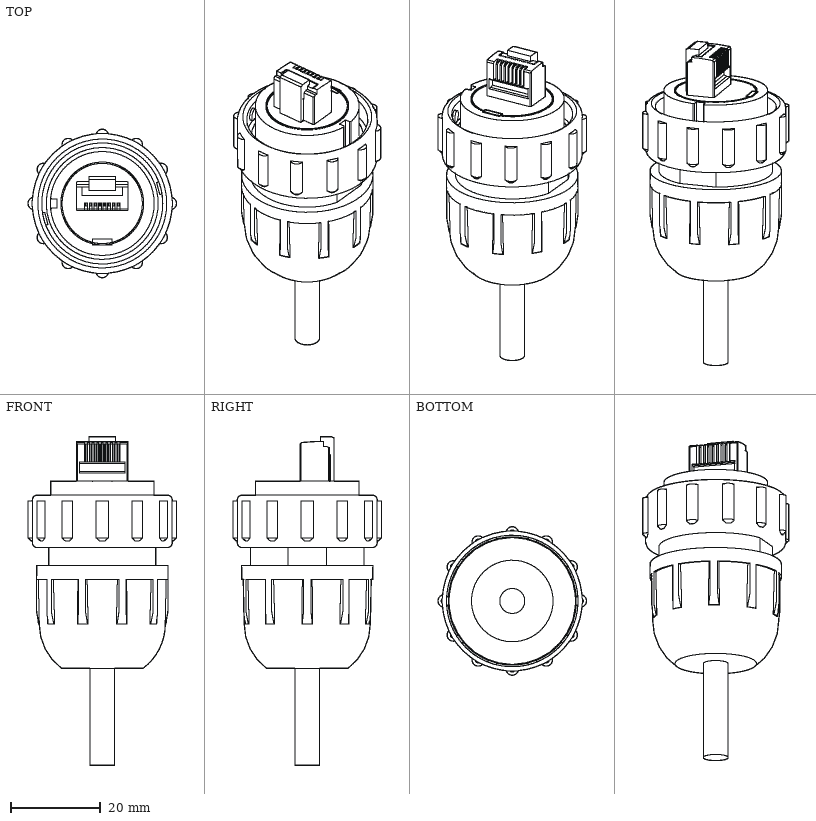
import cadquery as cq
import math

overall_height = 73.3
gland_bottom = 21.6
rib_foot = 31.5
rib_knee_bottom = 33.85
rib_knee_top = 34.4
collar_bottom = 41.5
collar_top = 44.55
nut_bottom = 48.5
nut_top = 60.2
insert_top = 63.3

cable_radius = 2.8
gland_mouth_radius = 9.1
dome_radius = 14.1
barrel_radius = 14.3
collar_radius = 14.65
gland_rib_count = 10
gland_rib_tip_width = 1.6
gland_rib_root_width = 2.4
gland_rib_foot_radius = 14.2
gland_rib_knee_radius = 14.6

neck_radius = 12.7
neck_flat_distance = 11.95

nut_radius = 15.6
nut_edge_radius = 1.1
nut_floor = 55.1
bore_radius = 13.5
bore_mouth_radius = 14.35
bore_taper_depth = 0.7
nut_rib_count = 12
nut_rib_tip_radius = 16.55
nut_rib_radius = 1.4
nut_rib_bottom = 50.0
nut_rib_top = 58.9
nut_rib_chamfer = 0.7
seal_section_radius = 0.45
pin_radius = 1.4
pin_reach = 0.6
pin_z = 57.15
pin_angles = (15, 195)

insert_radius = 11.6
keyway_depth = 1.5
keyway_width = 2.05
keyway_mouth_width = 2.85
keyway_flare_depth = 0.3
seam_outer_radius = 9.2
seam_width = 0.3
seam_depth = 0.2
tab_width = 4.4
tab_length = 1.3
tab_depth = 0.15

plug_width = 11.6
plug_front = -1.6
plug_back = 4.9
plug_top = 72.2
plug_edge_chamfer = 0.2
shoulder_y = 3.7
shoulder_z = 71.1
back_slope_length = 0.65
back_slope_drop = 0.3
crown_y = 1.7
brow_y = -1.25
brow_z = 71.95
brow_foot_z = 71.6
crown_pocket_width = 9.1
crown_pocket_length = 1.8
crown_pocket_depth = 0.2

latch_width = 6.0
latch_back = 6.0
latch_front = 2.9
latch_thickness = 0.9
latch_root_z = 69.2
latch_chamfer_length = 0.65
latch_chamfer_drop = 0.3

contact_count = 8
contact_pitch = 1.0
slot_width = 0.65
slot_back_y = 0.15
contact_width = 0.3
contact_face_y = -0.6
window_width = 10.1
window_top = 67.6
window_inner_top = 67.3
window_bottom = 65.15
window_inner_bottom = 65.45
window_depth = 1.5
window_step_depth = 0.4
window_sill_depth = 0.8


def disc(radius, bottom, top):
    return cq.Workplane("XY").workplane(offset=bottom).circle(radius).extrude(top - bottom)


def box(x_size, y_min, y_max, z_min, z_max):
    """Box centred on X = 0."""
    corner = (-x_size / 2, y_min, z_min)
    return cq.Workplane("XY").box(x_size, y_max - y_min, z_max - z_min, centered=False).translate(corner)


def side_prism(points, x_size):
    """Outline of (y, z) points extruded symmetrically along X."""
    return cq.Workplane("YZ").polyline(points).close().extrude(x_size / 2, both=True)


def make_gland_body():
    drop = rib_foot - gland_bottom
    inset = dome_radius - gland_mouth_radius
    arc_radius = (drop**2 + inset**2) / (2 * inset)
    half_angle = math.asin(drop / arc_radius) / 2
    arc_middle = (
        dome_radius - arc_radius * (1 - math.cos(half_angle)),
        rib_foot - arc_radius * math.sin(half_angle),
    )
    return (
        cq.Workplane("XZ")
        .moveTo(0, gland_bottom)
        .lineTo(gland_mouth_radius, gland_bottom)
        .threePointArc(arc_middle, (dome_radius, rib_foot))
        .lineTo(barrel_radius, collar_bottom)
        .lineTo(collar_radius, collar_bottom)
        .lineTo(collar_radius, collar_top)
        .lineTo(0, collar_top)
        .close()
        .revolve(360, (0, 0), (0, 1))
    )


def make_gland_ribs():
    inner_x = neck_radius
    half_root = gland_rib_root_width / 2
    half_tip = gland_rib_tip_width / 2
    rib = (
        cq.Workplane("XY")
        .workplane(offset=rib_foot)
        .polyline([
            (inner_x, -half_root),
            (dome_radius, -half_root),
            (collar_radius, -half_tip),
            (collar_radius, half_tip),
            (dome_radius, half_root),
            (inner_x, half_root),
        ])
        .close()
        .extrude(collar_bottom - rib_foot)
    )
    envelope = (
        cq.Workplane("XZ")
        .polyline([
            (0, rib_foot),
            (gland_rib_foot_radius, rib_foot),
            (gland_rib_knee_radius, rib_knee_bottom),
            (collar_radius, rib_knee_top),
            (collar_radius, collar_bottom),
            (0, collar_bottom),
        ])
        .close()
        .revolve(360, (0, 0), (0, 1))
    )
    rib = rib.intersect(envelope)
    ribs = rib
    for i in range(1, gland_rib_count):
        ribs = ribs.union(rib.rotate((0, 0, 0), (0, 0, 1), 360 * i / gland_rib_count))
    return ribs


def make_neck():
    flats = box(2 * neck_flat_distance, -neck_radius, neck_radius, collar_top, nut_floor)
    return disc(neck_radius, collar_top, nut_floor).intersect(flats)


def make_nut():
    shell = disc(nut_radius, nut_bottom, nut_top).edges().fillet(nut_edge_radius)

    rib = disc(nut_rib_radius, nut_rib_bottom, nut_rib_top).faces("<Z").edges().chamfer(nut_rib_chamfer)
    rib = rib.translate((nut_rib_tip_radius - nut_rib_radius, 0, 0))
    for i in range(nut_rib_count):
        shell = shell.union(rib.rotate((0, 0, 0), (0, 0, 1), 360 * i / nut_rib_count))

    bore = (
        cq.Workplane("XZ")
        .polyline([
            (0, nut_floor),
            (bore_radius, nut_floor),
            (bore_radius, nut_top - bore_taper_depth),
            (bore_mouth_radius, nut_top),
            (0, nut_top),
        ])
        .close()
        .revolve(360, (0, 0), (0, 1))
    )
    shell = shell.cut(bore)

    pin_start = bore_radius - pin_reach
    pin_length = (nut_radius + bore_radius) / 2 - pin_start
    pin_plane = cq.Workplane("YZ").workplane(offset=pin_start).center(0, pin_z)
    pin = pin_plane.circle(pin_radius).extrude(pin_length)
    for angle in pin_angles:
        shell = shell.union(pin.rotate((0, 0, 0), (0, 0, 1), angle))
    return shell


def make_seal():
    ring_radius = insert_radius + seal_section_radius
    return (
        cq.Workplane("XZ")
        .center(ring_radius, nut_floor)
        .circle(seal_section_radius)
        .revolve(360, (-ring_radius, 0), (-ring_radius, 1))
    )


def make_insert():
    body = disc(insert_radius, nut_floor, insert_top)

    flare_x = -insert_radius + keyway_flare_depth
    keyway = (
        cq.Workplane("XY")
        .workplane(offset=nut_floor)
        .polyline([
            (-insert_radius + keyway_depth, -keyway_width / 2),
            (flare_x, -keyway_width / 2),
            (-insert_radius, -keyway_mouth_width / 2),
            (-insert_radius, keyway_mouth_width / 2),
            (flare_x, keyway_width / 2),
            (-insert_radius + keyway_depth, keyway_width / 2),
        ])
        .close()
        .extrude(insert_top - nut_floor)
    )

    seam_bottom = insert_top - seam_depth
    seam = disc(seam_outer_radius, seam_bottom, insert_top).cut(
        disc(seam_outer_radius - seam_width, seam_bottom, insert_top)
    )
    tab_inner_y = tab_length - seam_outer_radius
    tab = box(tab_width, -seam_outer_radius, tab_inner_y, insert_top - tab_depth, insert_top)
    return body.cut(keyway).cut(seam).cut(tab)


def make_plug():
    body = box(plug_width, plug_front, plug_back, insert_top, plug_top).edges("|Z").chamfer(plug_edge_chamfer)

    profile = side_prism([
        (plug_front, insert_top),
        (plug_front, brow_foot_z),
        (brow_y, brow_z),
        (crown_y, plug_top),
        (shoulder_y, plug_top),
        (shoulder_y, shoulder_z),
        (plug_back - back_slope_length, shoulder_z),
        (plug_back, shoulder_z - back_slope_drop),
        (plug_back, insert_top),
    ], plug_width)
    body = body.intersect(profile)

    pocket_bottom = plug_top - crown_pocket_depth
    body = body.cut(
        box(crown_pocket_width, shoulder_y - crown_pocket_length, shoulder_y, pocket_bottom, plug_top)
    )

    slot = box(slot_width, plug_front, slot_back_y, window_top, plug_top)
    blade = box(contact_width, contact_face_y, slot_back_y, window_top, brow_foot_z)
    for i in range(contact_count):
        slot_x = (i - (contact_count - 1) / 2) * contact_pitch
        body = body.cut(slot.cut(blade).translate((slot_x, 0, 0)))

    window = side_prism([
        (plug_front, window_bottom),
        (plug_front, window_top),
        (plug_front + window_step_depth, window_top),
        (plug_front + window_step_depth, window_inner_top),
        (plug_front + window_depth, window_inner_top),
        (plug_front + window_depth, window_inner_bottom),
        (plug_front + window_sill_depth, window_bottom),
    ], window_width)
    return body.cut(window)


def make_latch():
    arm_front = latch_back - latch_thickness
    return side_prism([
        (latch_back, insert_top),
        (latch_back, overall_height - latch_chamfer_drop),
        (latch_back - latch_chamfer_length, overall_height),
        (latch_front, overall_height),
        (latch_front, plug_top - crown_pocket_depth),
        (shoulder_y, plug_top - crown_pocket_depth),
        (shoulder_y, latch_root_z),
        (arm_front, latch_root_z),
        (arm_front, insert_top),
    ], latch_width)


result = (
    disc(cable_radius, 0, gland_bottom)
    .union(make_gland_body())
    .union(make_gland_ribs())
    .union(make_neck())
    .union(make_nut())
    .union(make_insert())
    .union(make_seal())
    .union(make_plug())
    .union(make_latch())
)